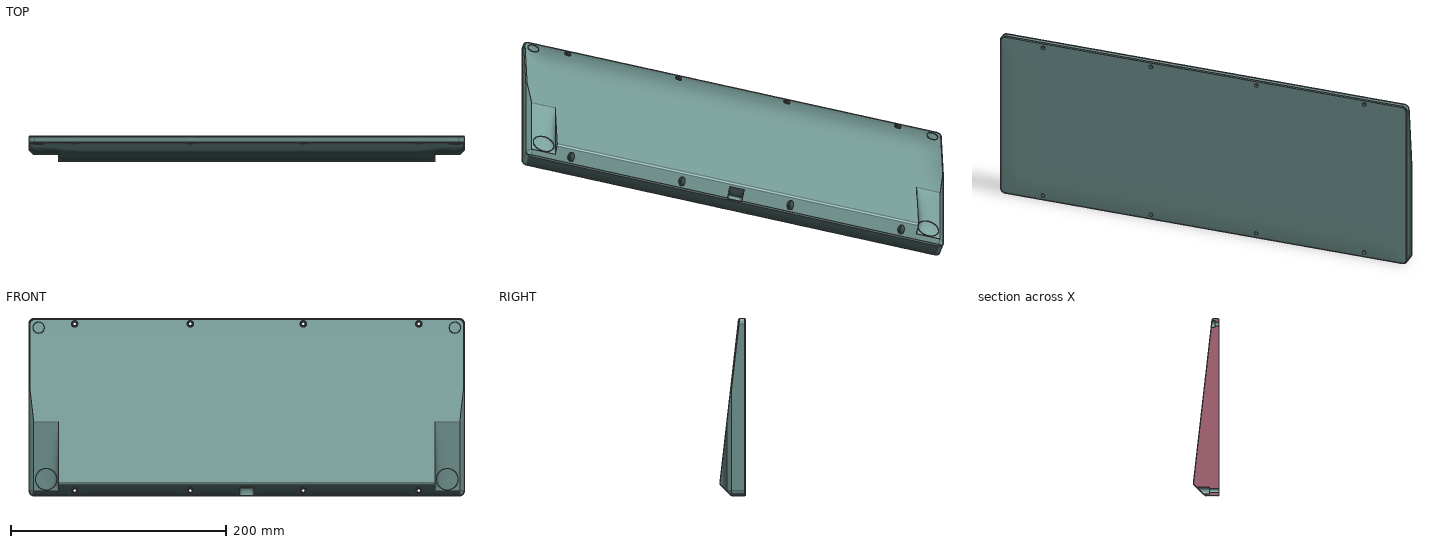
import cadquery as cq
import math

width = 405.0
height = 165.0
depth = 23.95
corner_radius = 5.0

slope_angle = math.radians(6.5)
rim_depth = 13.1
ridge_radius = 3.0
face_chamfer = 1.0
back_chamfer = 0.9
ridge_half_turn = (math.pi / 4 + slope_angle) / 2
ridge_setback = ridge_radius * math.tan(ridge_half_turn)
ridge_trim = (
    ridge_setback * math.sin(slope_angle)
    + ridge_radius * (math.cos(slope_angle) - 1)
)
ridge_depth = depth + ridge_trim
ridge_z = ridge_depth - rim_depth
top_depth = ridge_depth - (height - ridge_z) * math.tan(slope_angle)

foot_recess_depth = 17.5
foot_recess_width = 27.3
bevel = foot_recess_depth - rim_depth

seat_sink = 0.3
large_seat_diameter = 20.0
large_seat_x = width / 2 - 16.0
large_seat_z = 15.5
small_seat_diameter = 10.5
small_seat_x = width / 2 - 9.0
small_seat_z = height - 8.5

screw_columns = (-160.0, -52.5, 52.5, 160.0)
screw_diameter = 3.4
screw_head_diameter = 6.0
top_screw_z = height - 5.0
top_screw_head_floor = 4.0
lower_screw_z = 5.0
lower_screw_head_floor = 9.0

socket_width = 13.8
socket_low_z = 0.5
socket_high_z = 7.3
socket_floor = 13.0
socket_corner = 1.2


def bore(x, z, diameter, floor):
    """Cylinder along Y that runs from the given distance off the back out past the face."""
    plane = cq.Workplane("XZ", origin=(x, -floor, z))
    return plane.circle(diameter / 2).extrude(depth)


def rounded_plate(plate_height, thickness):
    """Plate with round corners that stands on Z = 0 with its back on Y = 0."""
    plate = cq.Workplane("XZ").center(0, plate_height / 2).rect(width, plate_height)
    return plate.extrude(thickness).edges("|Y").fillet(corner_radius)


def wedge():
    """Sloped body with rounded corners, a rounded ridge and chamfered rims."""
    outline = [
        (0, 0),
        (-rim_depth, 0),
        (-ridge_depth, ridge_z),
        (-top_depth, height),
        (0, height),
    ]
    body = cq.Workplane("YZ").polyline(outline).close().extrude(width / 2, both=True)
    ridge = cq.NearestToPointSelector((0, -ridge_depth, ridge_z))
    body = body.edges(ridge).fillet(ridge_radius)
    body = body.intersect(rounded_plate(height, depth))
    top_edge = cq.NearestToPointSelector((0, -top_depth, height))
    body = body.edges(top_edge).chamfer(face_chamfer)
    return body.faces(">Y").edges().chamfer(back_chamfer)


def foot_envelope():
    """Space that keeps the middle of the wedge whole and steps its two sides back to the feet."""
    middle_width = width - 2 * foot_recess_width
    middle = cq.Workplane("XZ").center(0, height / 2).rect(middle_width, height).extrude(depth)
    plate = rounded_plate(height + 2 * corner_radius, foot_recess_depth)
    plate = plate.faces("<Y").edges().chamfer(bevel)
    return plate.union(middle)


def small_seat(x):
    """Shallow disc sunk square to the sloped face."""
    face_depth = ridge_depth - (small_seat_z - ridge_z) * math.tan(slope_angle)
    normal = (0, -math.cos(slope_angle), math.sin(slope_angle))
    origin = cq.Vector(x, -face_depth, small_seat_z) - cq.Vector(*normal) * seat_sink
    plane = cq.Plane(origin=origin.toTuple(), xDir=(1, 0, 0), normal=normal)
    return cq.Workplane(plane).circle(small_seat_diameter / 2).extrude(depth)


def large_seat(x):
    """Shallow disc sunk into a foot recess floor."""
    return bore(x, large_seat_z, large_seat_diameter, foot_recess_depth - seat_sink)


def screw_hole(x, z, head_floor):
    """Through hole with a counterbore for the screw head."""
    shank = bore(x, z, screw_diameter, 0)
    return shank.union(bore(x, z, screw_head_diameter, head_floor))


def cable_socket():
    """Notch in the bottom bevel with a floor parallel to the sloped face."""
    normal = (0, -math.cos(slope_angle), math.sin(slope_angle))
    plane = cq.Plane(origin=(0, -socket_floor, socket_low_z), xDir=(1, 0, 0), normal=normal)
    length = (socket_high_z - socket_low_z) / math.cos(slope_angle)
    return (
        cq.Workplane(plane)
        .center(0, length / 2)
        .rect(socket_width, length)
        .extrude(depth)
        .faces(">Y")
        .edges("not |X")
        .fillet(socket_corner)
    )


result = wedge().intersect(foot_envelope()).cut(cable_socket())
for side in (-1, 1):
    result = result.cut(small_seat(side * small_seat_x))
    result = result.cut(large_seat(side * large_seat_x))
for column in screw_columns:
    result = result.cut(screw_hole(column, top_screw_z, top_screw_head_floor))
    result = result.cut(screw_hole(column, lower_screw_z, lower_screw_head_floor))